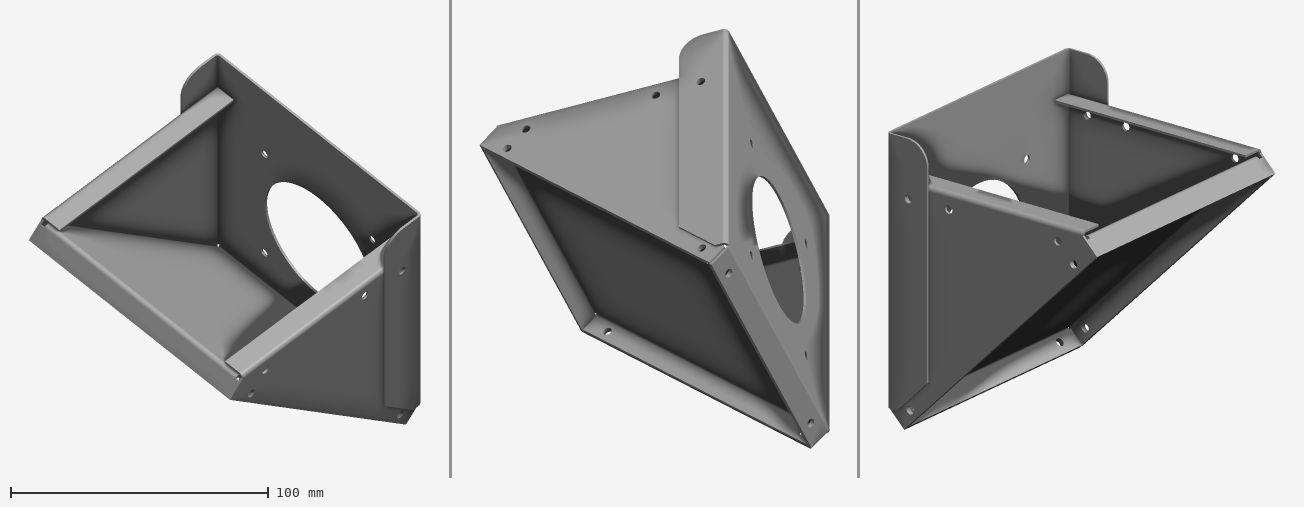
import cadquery as cq
import math


width = 114.0
depth = 103.1
height = 122.8

sheet = 1.0
bend_radius = 2 * sheet
inner_bend_radius = bend_radius - sheet

diagonal = math.sqrt(2)
slope_foot = 7.2
slope_top_z = depth - slope_foot

gusset_outer_x = width / 2 - sheet
tray_width = 2 * (gusset_outer_x - sheet)

screw_diameter = 3.6
vent_diameter = 59.0
vent_z = 54.8
vent_screw_offset = 30.0
lip_screw_x = 45.0
lip_screw_edge_distance = 4.8
upper_screw_z = 97.8
flange_screw_y = -10.9
gusset_screw_ys = (-30.0, -83.8)
tray_screw_ys = (-91.5, -10.9)
tray_screw_edge_distance = 4.0

flange_depth = 20.0
flange_corner_radius = 10.0
flange_slope_offset = 10.2
lip_bend_z = slope_foot + bend_radius * math.tan(math.pi / 8)
lip_width = width - 2 * bend_radius

gusset_top_z = 104.8
gusset_flange_width = 10.0
gusset_rear_y = -bend_radius

tray_sheet = 1.2
tray_wall_height = 10.0
tray_length = slope_top_z * diagonal - sheet


def side_outline(points):
    """Closed outline in the Y-Z plane, ready to extrude along +X."""
    return cq.Workplane("YZ").polyline(points).close()


def cross_hole(y, z):
    """Screw hole running along X through every body."""
    return (
        cq.Workplane("YZ")
        .center(y, z)
        .circle(screw_diameter / 2)
        .extrude(width / 2 + sheet, both=True)
    )


def all_cross_holes():
    places = [(y, upper_screw_z) for y in (flange_screw_y, *gusset_screw_ys)]
    rise = tray_screw_edge_distance * diagonal
    places += [(y, -slope_foot - y + rise) for y in tray_screw_ys]
    holes = cq.Workplane("XY")
    for y, z in places:
        holes = holes.add(cross_hole(y, z))
    return holes.combine()


def lip_holes():
    """Screw holes square to the rear lip, through the lip and the tray's rear wall."""
    along = lip_screw_edge_distance / diagonal
    plane = cq.Plane(
        origin=(0, along - slope_foot, along), xDir=(1, 0, 0), normal=(0, -1, 1)
    )
    return (
        cq.Workplane(plane)
        .pushPoints([(-lip_screw_x, 0), (lip_screw_x, 0)])
        .circle(screw_diameter / 2)
        .extrude(2 * bend_radius, both=True)
    )


def back_plate_with_lip():
    """Flat back plate whose lower edge is folded forward by 45 degrees."""
    tip = sheet / diagonal
    inner_corner_z = slope_foot + sheet * (diagonal - 1)
    plate = side_outline(
        [
            (0, height),
            (0, slope_foot),
            (-slope_foot, 0),
            (-slope_foot - tip, tip),
            (-sheet, inner_corner_z),
            (-sheet, height),
        ]
    ).extrude(lip_width / 2, both=True)
    outer_fold = cq.selectors.NearestToPointSelector((0, 0, slope_foot))
    inner_fold = cq.selectors.NearestToPointSelector((0, -sheet, inner_corner_z))
    plate = plate.edges(outer_fold).fillet(bend_radius)
    return plate.edges(inner_fold).fillet(inner_bend_radius)


def back_channel():
    """Back plate with its two side flanges, trimmed to the outline of the flanges."""
    channel = (
        cq.Workplane("XY")
        .box(width, flange_depth, height, centered=(True, False, False))
        .translate((0, -flange_depth, 0))
        .edges("|Z and >Y")
        .fillet(bend_radius)
    )
    cavity = (
        cq.Workplane("XY")
        .box(width - 2 * sheet, flange_depth, height, centered=(True, False, False))
        .translate((0, -flange_depth - sheet, 0))
        .edges("|Z and >Y")
        .fillet(inner_bend_radius)
    )
    slant = flange_slope_offset - slope_foot
    outline = (
        side_outline(
            [
                (0, height),
                (0, lip_bend_z),
                (slant - lip_bend_z, lip_bend_z),
                (-flange_depth, slant + flange_depth),
                (-flange_depth, height),
            ]
        )
        .extrude(width / 2, both=True)
        .edges("|X and >Z and <Y")
        .fillet(flange_corner_radius)
    )
    return channel.cut(cavity).intersect(outline)


def make_back_panel():
    vent = cq.Workplane("XZ").center(0, vent_z).circle(vent_diameter / 2).extrude(bend_radius)
    vent_screws = (
        cq.Workplane("XZ")
        .center(0, vent_z)
        .rect(2 * vent_screw_offset, 2 * vent_screw_offset, forConstruction=True)
        .vertices()
        .circle(screw_diameter / 2)
        .extrude(bend_radius)
    )
    panel = back_channel().union(back_plate_with_lip())
    return panel.cut(vent).cut(vent_screws).cut(lip_holes()).cut(all_cross_holes())


def make_gusset(side):
    """Triangular side sheet with an inward top flange; side is -1 (left) or +1 (right)."""
    fold_z = gusset_top_z - bend_radius
    front_y = fold_z - slope_top_z - depth
    lip_inner_z = slope_foot + sheet * diagonal
    foot_y = -(slope_foot + lip_inner_z) / 2
    web = (
        side_outline(
            [
                (gusset_rear_y, fold_z),
                (front_y, fold_z),
                (-depth, slope_top_z),
                (foot_y, foot_y + lip_inner_z),
                (gusset_rear_y, gusset_rear_y + lip_inner_z),
            ]
        )
        .extrude(sheet)
        .translate((-gusset_outer_x, 0, 0))
    )
    flange = (
        cq.Workplane("XZ", origin=(-gusset_outer_x, gusset_rear_y, gusset_top_z))
        .moveTo(0, -bend_radius)
        .radiusArc((bend_radius, 0), bend_radius)
        .lineTo(gusset_flange_width, 0)
        .lineTo(gusset_flange_width, -sheet)
        .lineTo(bend_radius, -sheet)
        .radiusArc((sheet, -bend_radius), -inner_bend_radius)
        .close()
        .extrude(gusset_rear_y - front_y)
    )
    gusset = web.union(flange).cut(all_cross_holes())
    return gusset if side < 0 else gusset.mirror("YZ")


def make_tray():
    """Four-walled tray on the slope, open towards the slope line, with relieved corners."""
    slope = cq.Plane(origin=(0, -depth, slope_top_z), xDir=(1, 0, 0), normal=(0, 1, 1))
    from_front = (True, False, False)
    tray = (
        cq.Workplane(slope)
        .box(tray_width, tray_length, tray_wall_height, centered=from_front)
        .faces(cq.selectors.DirectionMinMaxSelector(slope.zDir, True))
        .edges()
        .fillet(bend_radius)
    )
    cavity = (
        cq.Workplane(slope)
        .center(0, tray_sheet)
        .box(
            tray_width - 2 * tray_sheet,
            tray_length - 2 * tray_sheet,
            tray_wall_height - tray_sheet,
            centered=from_front,
        )
        .faces(cq.selectors.DirectionMinMaxSelector(slope.zDir, True))
        .edges()
        .fillet(bend_radius - tray_sheet)
    )
    tray = tray.cut(cavity)

    corner_x = (tray_width - bend_radius) / 2
    slot = bend_radius - tray_sheet
    slot_centres = (tray_sheet + slot / 2, tray_length - tray_sheet - slot / 2)
    fold_centres = (bend_radius / 2, tray_length - bend_radius / 2)
    slots = (
        cq.Workplane(slope)
        .pushPoints([(x, y) for x in (-corner_x, corner_x) for y in slot_centres])
        .rect(bend_radius, slot)
        .extrude(tray_wall_height)
    )
    folds = (
        cq.Workplane(slope)
        .workplane(offset=tray_wall_height - bend_radius)
        .pushPoints([(x, y) for x in (-corner_x, corner_x) for y in fold_centres])
        .rect(bend_radius, bend_radius)
        .extrude(bend_radius)
    )
    return tray.cut(slots).cut(folds).cut(lip_holes()).cut(all_cross_holes())


back_panel = make_back_panel()
gussets = [make_gusset(side) for side in (-1, 1)]
tray = make_tray()

result = cq.Compound.makeCompound(
    [back_panel.val(), *[gusset.val() for gusset in gussets], tray.val()]
)